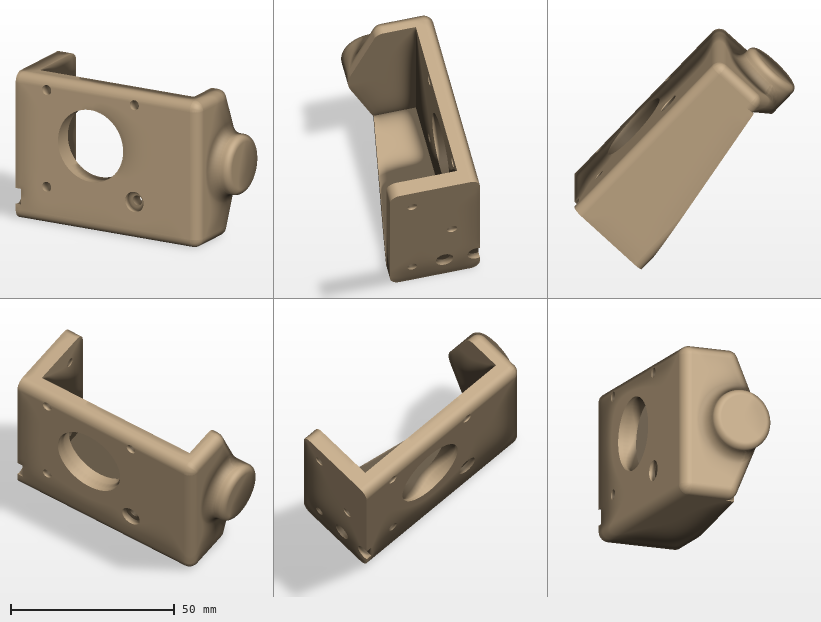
import cadquery as cq
import math

height = 46.9
left_wall_depth = 28.2
body_length = 64.55
overall_length = 70.4
left_wall = 5.0
right_wall = 5.0
front_wall = 6.0
floor_thickness = 3.0
edge_radius = 3.0
rim_radius = edge_radius - 0.01

boss_radius = 19 / 2
boss_y = 17.8
boss_z = height / 2
boss_end_radius = 2.0
boss_root_radius = 2.95
selection_margin = 0.1

right_wall_inside = body_length - right_wall
corner_y = 16.2
corner_z = height - edge_radius

opening_diameter = 23.0
opening_x = 26.5
opening_z = 27.5
screw_pitch = 31.0
screw_diameter = 3.2
counterbore_diameter = 6.5
counterbore_depth = 2.0

hole_row_z = 23.3
mounting_diameter = 3.0
mounting_y = 21.25
mounting_spacing = 32.5
pin_diameter = 3.2
pin_y = 8.7
pocket_diameter = 5.5
pocket_centres_y = (1.1, 11.1)
pocket_z = 7.45
pocket_depth = 2.0


def x_cylinder(diameter, start_x, length, y, z):
    plane = cq.Plane(origin=(start_x, y, z), xDir=(0, 1, 0), normal=(1, 0, 0))
    return cq.Workplane(plane).circle(diameter / 2).extrude(length)


def y_cylinder(diameter, length, x, z):
    plane = cq.Plane(origin=(x, 0, z), xDir=(1, 0, 0), normal=(0, 1, 0))
    return cq.Workplane(plane).circle(diameter / 2).extrude(length)


def rounded_block(length):
    """Block with the left wall's round-cornered outline."""
    block = cq.Workplane("XY").box(length, left_wall_depth, height, centered=False)
    return block.edges("|X").fillet(edge_radius)


def make_left_wall():
    return rounded_block(left_wall)


def make_front_wall():
    length = right_wall_inside
    wall = cq.Workplane("XY").box(length, front_wall, height, centered=False)
    return wall.edges("|X and <Y").fillet(edge_radius)


def make_floor():
    """Web whose back edge slopes from the left wall to the narrow end of the right wall."""
    right_end_y = corner_y + edge_radius
    outline = [
        (left_wall, edge_radius),
        (right_wall_inside, edge_radius),
        (right_wall_inside, right_end_y),
        (left_wall, left_wall_depth),
    ]
    web = cq.Workplane("XY").polyline(outline).close().extrude(floor_thickness)
    return web.intersect(rounded_block(right_wall_inside))


def make_right_wall():
    """Round-cornered wall whose back sides run tangent from the corners to the boss."""
    rise = corner_z - boss_z
    offset = boss_y - corner_y
    lean = math.asin((boss_radius - edge_radius) / math.hypot(rise, offset)) + math.atan2(offset, rise)
    normal_y, normal_z = math.cos(lean), math.sin(lean)
    bisector = math.radians(45) + lean / 2
    diagonal = edge_radius * math.sqrt(0.5)

    top_tangent = (corner_y + edge_radius * normal_y, corner_z + edge_radius * normal_z)
    top_middle = (
        corner_y + edge_radius * math.cos(bisector),
        corner_z + edge_radius * math.sin(bisector),
    )
    boss_tangent = (boss_y + boss_radius * normal_y, boss_z + boss_radius * normal_z)

    def mirrored(point):
        return point[0], height - point[1]

    front_middle = (edge_radius - diagonal, corner_z + diagonal)
    wall = (
        cq.Workplane("YZ", origin=(right_wall_inside, 0, 0))
        .moveTo(0, edge_radius)
        .lineTo(0, corner_z)
        .threePointArc(front_middle, (edge_radius, height))
        .lineTo(corner_y, height)
        .threePointArc(top_middle, top_tangent)
        .lineTo(*boss_tangent)
        .threePointArc((boss_y + boss_radius, boss_z), mirrored(boss_tangent))
        .lineTo(*mirrored(top_tangent))
        .threePointArc(mirrored(top_middle), (corner_y, 0))
        .lineTo(edge_radius, 0)
        .threePointArc(mirrored(front_middle), (0, edge_radius))
        .close()
        .extrude(right_wall)
    )
    return wall.faces(">X").edges().fillet(rim_radius)


def make_boss():
    boss = x_cylinder(2 * boss_radius, right_wall_inside, overall_length - right_wall_inside, boss_y, boss_z)
    return boss.faces(">X").edges().fillet(boss_end_radius)


def make_bossed_wall():
    """Right wall and boss, blended by a root fillet where the boss leaves the wall's outer face."""
    bossed_wall = make_right_wall().union(make_boss())
    root_selector = cq.selectors.BoxSelector(
        (body_length - selection_margin, 0, boss_z - boss_radius),
        (body_length + selection_margin, boss_y, boss_z + boss_radius),
    )
    return bossed_wall.edges(root_selector).edges("%CIRCLE").fillet(boss_root_radius)


def cut_front_wall_holes(body):
    body = body.cut(y_cylinder(opening_diameter, front_wall, opening_x, opening_z))
    half_pitch = screw_pitch / 2
    for side_x in (-half_pitch, half_pitch):
        for side_z in (-half_pitch, half_pitch):
            screw_hole = y_cylinder(screw_diameter, front_wall, opening_x + side_x, opening_z + side_z)
            body = body.cut(screw_hole)
    counterbore = y_cylinder(
        counterbore_diameter, counterbore_depth, opening_x + half_pitch, opening_z - half_pitch
    )
    return body.cut(counterbore)


def cut_left_wall_holes(body):
    for side in (-1, 1):
        hole_z = hole_row_z + side * mounting_spacing / 2
        body = body.cut(x_cylinder(mounting_diameter, 0, left_wall, mounting_y, hole_z))
    body = body.cut(x_cylinder(pin_diameter, 0, left_wall, pin_y, hole_row_z))
    for pocket_y in pocket_centres_y:
        body = body.cut(x_cylinder(pocket_diameter, 0, pocket_depth, pocket_y, pocket_z))
    return body


bracket = make_left_wall().union(make_front_wall()).union(make_floor()).union(make_bossed_wall())
result = cut_left_wall_holes(cut_front_wall_holes(bracket))